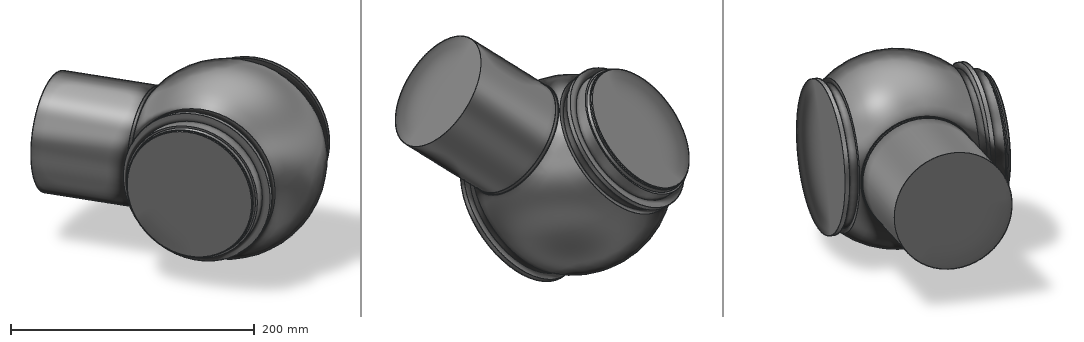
import cadquery as cq
import math

ball_radius = 82.5
side_flat = 52.0
pipe_flat = 64.7

overall_length = 235.3
pipe_end = overall_length - ball_radius
pipe_radius = 50.8
joint_radius = 50.5
joint_length = 3.0

neck_radius = 60.2
flange_radius = 65.0
flange_face = 65.0
flange_thickness = 4.0
flange_back = flange_face - flange_thickness
flange_taper = 1.6

overall_depth = 146.0
spigot_end = overall_depth - flange_face
spigot_radius = 58.1
spigot_shoulder = 75.8
groove_outer_radius = 56.5
groove_radius = 54.8
groove_depth = 78.0
lip_radius = 55.8
lip_thickness = 2.1
lip_chamfer = 0.7
lip_start = spigot_end - lip_thickness


def ball():
    """Sphere with flats where the necks and the pipe join."""
    flat_radius = math.sqrt(ball_radius**2 - side_flat**2)
    turned = (
        cq.Workplane("XY")
        .moveTo(0, -side_flat)
        .lineTo(flat_radius, -side_flat)
        .threePointArc((ball_radius, 0), (flat_radius, side_flat))
        .lineTo(0, side_flat)
        .close()
        .revolve(360, (0, 0, 0), (0, 1, 0))
    )
    beyond_flat = cq.Workplane("YZ", origin=(-pipe_flat, 0, 0)).rect(
        2 * ball_radius, 2 * ball_radius
    ).extrude(-ball_radius)
    return turned.cut(beyond_flat)


def pipe():
    """Inlet pipe with a slightly narrower joint next to the ball."""
    joint_end = pipe_flat + joint_length
    joint = cq.Workplane("YZ").circle(joint_radius).extrude(-joint_end)
    tube = cq.Workplane("YZ", origin=(-joint_end, 0, 0)).circle(pipe_radius).extrude(joint_end - pipe_end)
    return joint.union(tube)


def turned_about_y(profile):
    """Solid of revolution about Y from (radius, y) points."""
    return cq.Workplane("XY").polyline(profile).close().revolve(360, (0, 0, 0), (0, 1, 0))


def flanged_neck(side):
    """Neck and tapered flange; side is 1 for +Y and -1 for -Y."""
    return turned_about_y([
        (0, 0),
        (neck_radius, 0),
        (neck_radius, side * (flange_back - flange_taper)),
        (flange_radius, side * flange_back),
        (flange_radius, side * flange_face),
        (0, side * flange_face),
    ])


def spigot():
    """Stepped plug with a V-shaped groove behind its end lip."""
    return turned_about_y([
        (0, 0),
        (spigot_radius, 0),
        (spigot_radius, -spigot_shoulder),
        (groove_outer_radius, -spigot_shoulder),
        (groove_radius, -groove_depth),
        (lip_radius, -lip_start),
        (lip_radius, -spigot_end + lip_chamfer),
        (lip_radius - lip_chamfer, -spigot_end),
        (0, -spigot_end),
    ])


result = ball().union(pipe()).union(spigot())
for neck_side in (-1, 1):
    result = result.union(flanged_neck(neck_side))